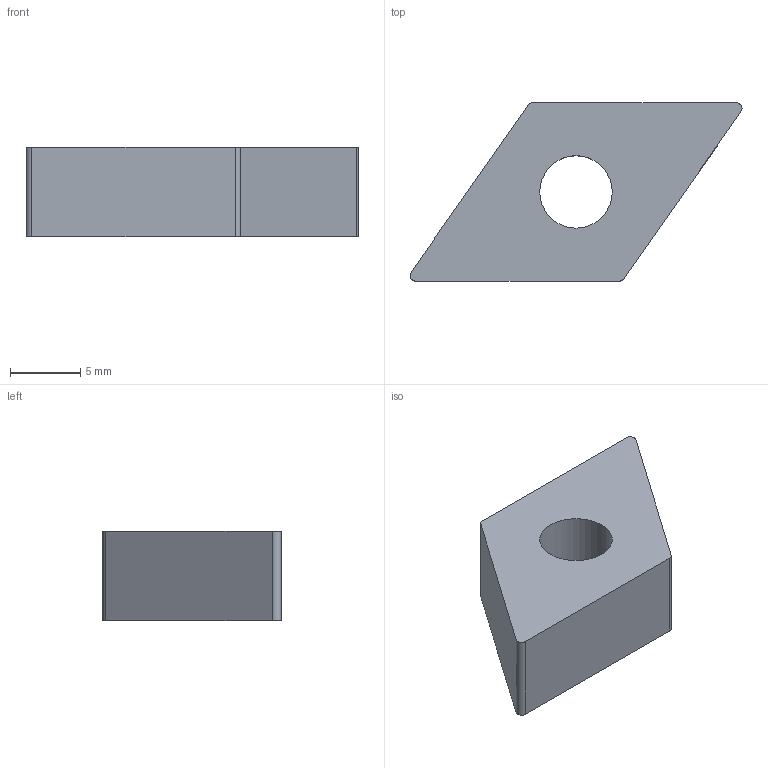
import cadquery as cq
import math

inscribed_circle_diameter = 12.7
thickness = 6.35
hole_diameter = 5.16
corner_radius = 0.4
acute_angle = math.radians(55)

side_length = inscribed_circle_diameter / math.sin(acute_angle)
lean = inscribed_circle_diameter / math.tan(acute_angle)
half_height = inscribed_circle_diameter / 2
acute_corner_x = (side_length + lean) / 2
obtuse_corner_x = (side_length - lean) / 2


def make_body():
    """Rhombic prism centred on the Z axis, with all four corners rounded."""
    corners = [
        (-acute_corner_x, -half_height),
        (obtuse_corner_x, -half_height),
        (acute_corner_x, half_height),
        (-obtuse_corner_x, half_height),
    ]
    prism = cq.Workplane("XY").polyline(corners).close().extrude(thickness)
    return prism.edges("|Z").fillet(corner_radius)


def cut_centre_hole(body):
    """Mounting hole through the full thickness."""
    return body.faces(">Z").workplane(origin=(0, 0, thickness)).hole(hole_diameter)


result = cut_centre_hole(make_body())